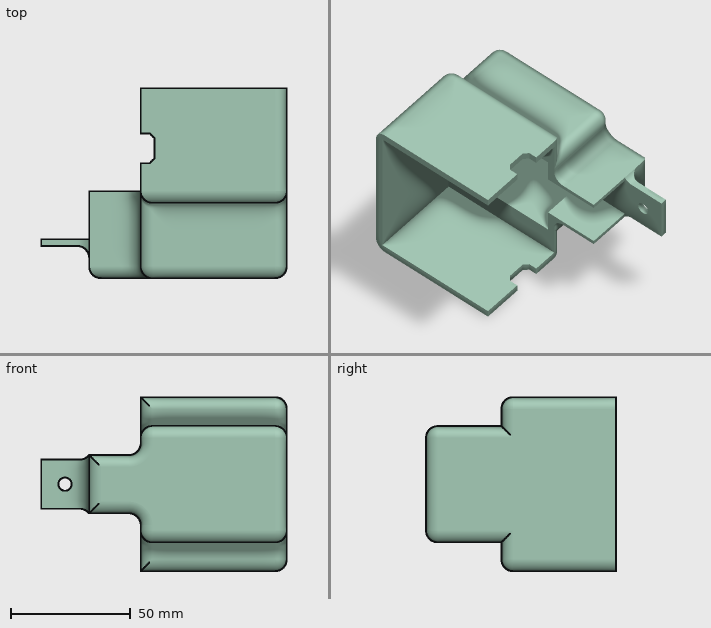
import cadquery as cq
import math

length = 102.8
depth = 79.6
height = 72.9

wall = 3.4
round_radius = 4.9

body_left = 41.6
body_front = 31.6
cavity_front = body_front + round_radius

front_box_height = 48.7
arm_left = 20.0
arm_height = 24.5

channel_height = 20.7
channel_front = 16.3

tab_thickness = 2.9
tab_hole_diameter = 5.4
tab_hole_x = 10.0

notch_depth = 5.8
notch_width = 12.3
notch_y = 54.4
notch_chamfer = 2.0


def box(x_range, y_range, z_size):
    """Box spanning the X and Y ranges, centred on Z = 0."""
    x_size = x_range[1] - x_range[0]
    y_size = y_range[1] - y_range[0]
    corner = (x_range[0], y_range[0], -z_size / 2)
    return cq.Workplane("XY").box(x_size, y_size, z_size, centered=False).translate(corner)


def main_box():
    """Tall box, rounded around its front face and along its right-hand edges."""
    body = box((body_left, length), (body_front, depth), height)
    return body.edges("<Y or (|Y and >X)").fillet(round_radius)


def front_box_and_arm():
    """T-shaped block: front box and arm, blended together and rounded at the front."""
    y_range = (0, cavity_front)
    front_box = box((body_left, length), y_range, front_box_height)
    arm = box((arm_left, length), y_range, arm_height)
    return front_box.union(arm).edges("<Y or (|Y and (not <X))").fillet(round_radius)


def mounting_tab():
    """Flat tab on the arm's end, flared into the arm at its sides and across its front."""
    tab_front = channel_front - tab_thickness
    half_tab = channel_height / 2
    half_arm = arm_height / 2

    flare_rise = half_arm - half_tab
    flare_run = math.sqrt(round_radius**2 - (round_radius - flare_rise) ** 2)
    half_angle = math.acos(1 - flare_rise / round_radius) / 2
    flare_start = arm_left - flare_run
    mid_x = flare_start + round_radius * math.sin(half_angle)
    mid_z = half_tab + round_radius * (1 - math.cos(half_angle))
    root = arm_left + wall
    outline = (
        cq.Workplane("XZ")
        .moveTo(0, -half_tab)
        .lineTo(flare_start, -half_tab)
        .threePointArc((mid_x, -mid_z), (arm_left, -half_arm))
        .lineTo(root, -half_arm)
        .lineTo(root, half_arm)
        .lineTo(arm_left, half_arm)
        .threePointArc((mid_x, mid_z), (flare_start, half_tab))
        .lineTo(0, half_tab)
        .close()
        .extrude(-depth)
    )

    blend_start = arm_left - round_radius
    blend_end = tab_front - round_radius
    blend_offset = round_radius * math.sqrt(0.5)
    blend_middle = (blend_start + blend_offset, blend_end + blend_offset)
    plan = (
        cq.Workplane("XY")
        .moveTo(0, channel_front)
        .lineTo(0, tab_front)
        .lineTo(blend_start, tab_front)
        .threePointArc(blend_middle, (arm_left, blend_end))
        .lineTo(root, blend_end)
        .lineTo(root, channel_front)
        .close()
        .extrude(height / 2, both=True)
    )
    return plan.intersect(outline)


def tab_hole():
    """Screw hole through the tab."""
    hole = cq.Workplane("XZ").center(tab_hole_x, 0).circle(tab_hole_diameter / 2)
    return hole.extrude(-depth)


def cavity():
    """Hollow of the main box and front box, and the channel out through the arm."""
    right = length - wall
    main = box((0, right), (cavity_front, depth), height - 2 * wall)
    front = box((body_left + wall, right), (wall, cavity_front), front_box_height - 2 * wall)
    channel = box((arm_left, right), (channel_front, cavity_front), channel_height)
    return main.union(front).union(channel)


def wall_notches():
    """Chamfered notch cut through both the top and bottom walls."""
    y_range = (notch_y - notch_width / 2, notch_y + notch_width / 2)
    notch = box((body_left, body_left + notch_depth), y_range, height)
    return notch.edges("|Z and >X").chamfer(notch_chamfer)


shell = main_box().union(front_box_and_arm()).cut(cavity())
result = shell.union(mounting_tab()).cut(tab_hole()).cut(wall_notches())